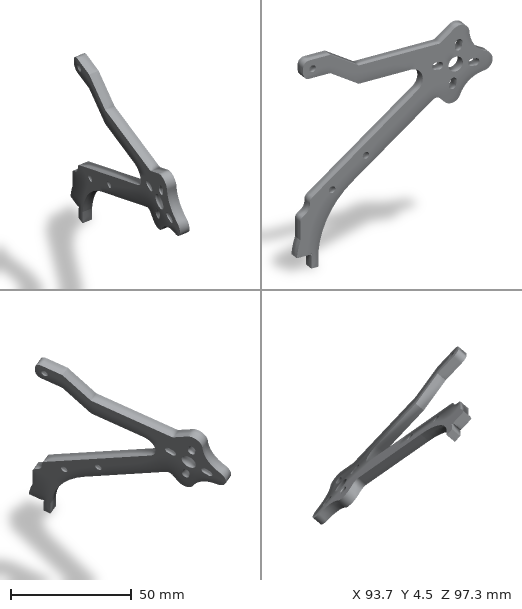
import cadquery as cq
import math

width = 93.7
height = 97.35
thickness = 4.5

hub_tilt = -9.0
lobe_offset = 13.3
lobe_radius = 4.5
waist_distance = 11.2
hub_x = width - lobe_radius - lobe_offset * math.cos(math.radians(hub_tilt))
hub_z = 77.2
bore_diameter = 6.8
slot_offset = 8.8
slot_length = 5.3
slot_width = 3.3

arm_height = 8.6
arm_left = 3.0
arm_corner_radius = 2.9
step_start_x = 16.0
step_end_x = 29.6
arm_hole_inset = 4.5
arm_low_top = height - arm_height
arm_low_bottom = arm_low_top - arm_height

strut_angle = hub_tilt + 45.0
strut_width = 9.4
strut_hole = (33.1, 45.95)
strut_hole_spacing = 20.1
screw_diameter = 3.1
crotch_radius = 5.7
hub_top_radius = 1.9
hub_bottom_radius = 2.4
hub_bottom_line_angle = 135.0

tip_left = 6.9
tip_right = 10.3
inner_curve_start_z = 6.9
inner_curve_start_angle = 84.7
sole_z = 6.6
relief_radius = 0.5
heel_bend = (0.6, 11.2)
heel_bend_radius = 27.3
heel_x = 1.8
heel_top_z = 14.5
heel_corner_z = 24.5
heel_corner_radius = 2.4
notch_x = 6.2
notch_z = 27.5
notch_radius = 4.9
shoulder_radius = 3.1


def polar(origin, distance, angle):
    """Point at a distance and angle (degrees) from an origin."""
    turn = math.radians(angle)
    return (origin[0] + distance * math.cos(turn), origin[1] + distance * math.sin(turn))


def crossing(point_a, angle_a, point_b, angle_b):
    """Point where two lines meet, each given by a point and an angle."""
    toward_b = math.radians(angle_b)
    gap_x = point_b[0] - point_a[0]
    gap_z = point_b[1] - point_a[1]
    across = gap_x * math.sin(toward_b) - gap_z * math.cos(toward_b)
    return polar(point_a, across / math.sin(math.radians(angle_b - angle_a)), angle_a)


def plane():
    return cq.Workplane("XZ")


def extrude(sketch):
    return sketch.extrude(thickness / 2, both=True)


def disc(center, radius):
    return extrude(plane().center(*center).circle(radius))


def rounded_plate(corners):
    """Plate from (point, radius) corners; a zero radius leaves a sharp corner."""
    path = plane().moveTo(*corners[0][0])
    for index in range(1, len(corners)):
        point, radius = corners[index]
        if radius == 0:
            path = path.lineTo(*point)
            continue
        before = corners[index - 1][0]
        after = corners[(index + 1) % len(corners)][0]
        back = math.degrees(math.atan2(before[1] - point[1], before[0] - point[0]))
        ahead = math.degrees(math.atan2(after[1] - point[1], after[0] - point[0]))
        opening = (ahead - back + 180) % 360 - 180
        half = math.radians(abs(opening) / 2)
        tangent_length = radius / math.tan(half)
        nearest = radius / math.sin(half) - radius
        path = path.lineTo(*polar(point, tangent_length, back))
        path = path.threePointArc(
            polar(point, nearest, back + opening / 2), polar(point, tangent_length, ahead)
        )
    return extrude(path.close())


hub = (hub_x, hub_z)
right_lobe, top_lobe, bottom_lobe = [
    polar(hub, lobe_offset, hub_tilt + turn) for turn in (0, 90, -90)
]


def make_hub():
    reach = waist_distance - lobe_radius
    diagonal = math.cos(math.radians(45))
    distance = (lobe_offset**2 - reach**2) / (2 * (lobe_offset * diagonal - reach))
    body = disc(hub, bore_diameter)
    for lobe, turn in ((top_lobe, 45), (bottom_lobe, -45)):
        waist_center = polar(hub, distance, hub_tilt + turn)
        web = extrude(plane().polyline([hub, lobe, waist_center, right_lobe]).close())
        body = body.union(web.cut(disc(waist_center, distance - waist_distance)))
    for lobe in (right_lobe, top_lobe, bottom_lobe):
        body = body.union(disc(lobe, lobe_radius))
    return body


def make_arms():
    strut_top = polar(strut_hole, strut_width / 2, strut_angle + 90)
    strut_bottom = polar(strut_hole, strut_width / 2, strut_angle - 90)

    top_flank = polar(top_lobe, lobe_radius, strut_angle + 90)
    bottom_flank = polar(bottom_lobe, lobe_radius, hub_bottom_line_angle + 90)
    top_corner = crossing((0, arm_low_top), 0, top_flank, strut_angle)
    bottom_corner = crossing(strut_bottom, strut_angle, bottom_flank, hub_bottom_line_angle)
    crotch = crossing((0, arm_low_bottom), 0, strut_top, strut_angle)
    shoulder = crossing((notch_x, 0), 90, strut_top, strut_angle)

    curve_start = (tip_right, inner_curve_start_z)
    curve_corner = crossing(curve_start, inner_curve_start_angle, strut_bottom, strut_angle)
    half_turn = math.radians(inner_curve_start_angle - strut_angle) / 2
    curve_radius = math.dist(curve_start, curve_corner) / math.tan(half_turn)

    return rounded_plate([
        ((tip_left, 0), 0),
        ((tip_right, 0), 0),
        (curve_start, 0),
        (curve_corner, curve_radius * 0.999),
        (bottom_corner, hub_bottom_radius),
        (bottom_flank, 0),
        (bottom_lobe, 0),
        (hub, 0),
        (top_lobe, 0),
        (top_flank, 0),
        (top_corner, hub_top_radius),
        ((step_end_x, arm_low_top), 0),
        ((step_start_x, height), 0),
        ((arm_left, height), arm_corner_radius),
        ((arm_left, arm_low_top), arm_corner_radius),
        ((step_start_x, arm_low_top), 0),
        ((step_end_x, arm_low_bottom), 0),
        (crotch, crotch_radius),
        (shoulder, shoulder_radius),
        ((notch_x, notch_z), notch_radius),
        ((heel_x, heel_corner_z), heel_corner_radius),
        ((heel_x, heel_top_z), 0),
        (heel_bend, heel_bend_radius),
        ((0, sole_z), 0),
        ((tip_left, sole_z), 0),
    ])


def make_openings():
    openings = disc(hub, bore_diameter / 2)
    for turn in range(0, 360, 90):
        angle = hub_tilt + turn
        slot = plane().center(*polar(hub, slot_offset, angle)).slot2D(slot_length, slot_width, angle)
        openings = openings.union(extrude(slot))
    screw_holes = [
        (arm_left + arm_hole_inset, height - arm_height / 2),
        strut_hole,
        polar(strut_hole, -strut_hole_spacing, strut_angle),
    ]
    for center in screw_holes:
        openings = openings.union(disc(center, screw_diameter / 2))
    return openings.union(disc((tip_left, sole_z), relief_radius))


result = make_arms().union(make_hub()).cut(make_openings())